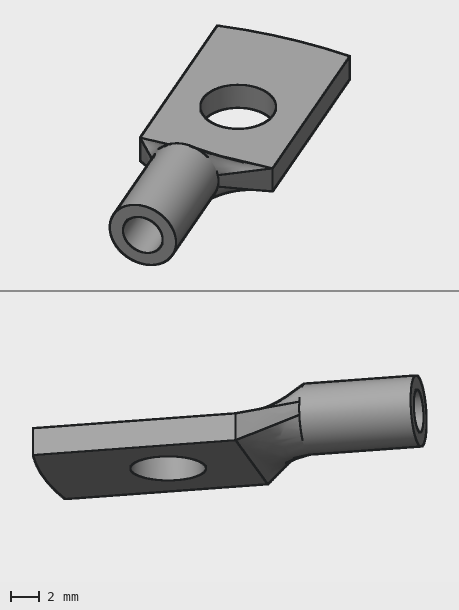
import cadquery as cq

total_length = 26.95
height = 5.4

barrel_diameter = 5.0
bore_diameter = 3.0
barrel_length = 8.0
barrel_axis_z = height - barrel_diameter / 2

neck_length = 4.0

palm_width = 10.0
palm_thickness = 2.0
palm_start = barrel_length + neck_length
end_bulge = 0.38
palm_side_end = total_length - end_bulge
stud_hole_diameter = 5.3
stud_hole_y = 18.0


def make_palm():
    half_width = palm_width / 2
    palm = (
        cq.Workplane("XY")
        .moveTo(-half_width, palm_start)
        .lineTo(half_width, palm_start)
        .lineTo(half_width, palm_side_end)
        .threePointArc((0, total_length), (-half_width, palm_side_end))
        .close()
        .extrude(palm_thickness)
    )
    stud_hole = (
        cq.Workplane("XY")
        .center(0, stud_hole_y)
        .circle(stud_hole_diameter / 2)
        .extrude(palm_thickness)
    )
    return palm.cut(stud_hole)


def make_neck():
    palm_middle_z = palm_thickness / 2
    return (
        cq.Workplane("XZ", origin=(0, palm_start, 0))
        .center(0, palm_middle_z)
        .rect(palm_width, palm_thickness)
        .workplane(offset=neck_length)
        .center(0, barrel_axis_z - palm_middle_z)
        .circle(barrel_diameter / 2)
        .loft(ruled=True)
    )


def make_barrel():
    return (
        cq.Workplane("XZ")
        .center(0, barrel_axis_z)
        .circle(barrel_diameter / 2)
        .circle(bore_diameter / 2)
        .extrude(-barrel_length)
    )


result = make_palm().union(make_neck()).union(make_barrel())